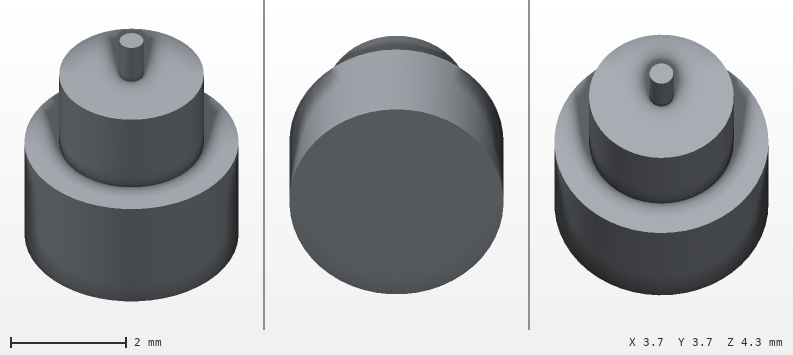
import cadquery as cq

total_height = 4.3

base_diameter = 3.7
base_height = 2.05

barrel_diameter = 2.5
barrel_height = 1.5

pin_diameter = 0.41
pin_height = total_height - base_height - barrel_height


def add_cylinder(body, diameter, height):
    """Stack a coaxial cylinder on the top face of the body."""
    return body.faces(">Z").workplane().circle(diameter / 2).extrude(height)


base = cq.Workplane("XY").circle(base_diameter / 2).extrude(base_height)
base_and_barrel = add_cylinder(base, barrel_diameter, barrel_height)
result = add_cylinder(base_and_barrel, pin_diameter, pin_height)